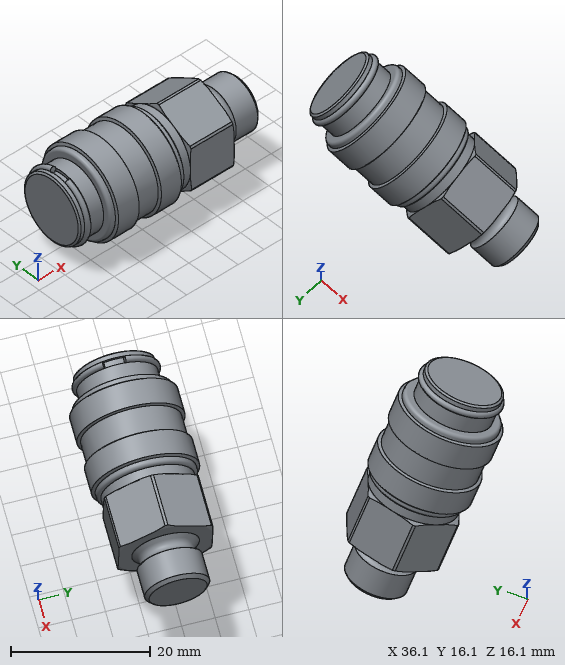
import cadquery as cq
import math

length = 36.15

plug_diameter = 12.15
plug_chamfer_length = 0.2
plug_face_diameter = 11.4
groove_start = 0.9
groove_width = 1.1
groove_diameter = 11.15

wire_diameter = 1.0
gap_angle_plus_y = 12.0
gap_angle_minus_y = 18.0

sleeve_diameter = 15.1
sleeve_start = 4.6
sleeve_end = 19.1
sleeve_fillet = 0.5
band_diameter = 16.15
front_band_start = 5.53
front_band_end = 9.85
rear_band_start = 13.85
rear_band_end = 18.08
band_side_taper = 0.15
rear_band_end_taper = 0.2

neck_diameter = 14.0
hex_start = 20.6
hex_end = 29.1
hex_across_flats = 14.0
hex_corner_diameter = 15.9
hex_twist = 1.3
hex_chamfer_diameter = 14.55
hex_chamfer_angle = 15.0

thread_diameter = 9.72
thread_chamfer = 0.55
undercut_radius = 1.0
undercut_floor_diameter = 8.25
undercut_center = 30.45


def revolve_about_x(outline):
    """Close an XY half outline and turn it a full revolution about the X axis."""
    return outline.close().revolve(360, (0, 0, 0), (1, 0, 0))


def add_band(outline, start, end, start_taper, end_taper):
    """Continue the sleeve outline over one raised band with sloped sides."""
    sleeve_radius = sleeve_diameter / 2
    band_radius = band_diameter / 2
    return (
        outline.lineTo(start, sleeve_radius)
        .lineTo(start + start_taper, band_radius)
        .lineTo(end - end_taper, band_radius)
        .lineTo(end, sleeve_radius)
    )


def make_plug():
    plug_radius = plug_diameter / 2
    groove_radius = groove_diameter / 2
    groove_end = groove_start + groove_width
    outline = (
        cq.Workplane("XY")
        .lineTo(0, plug_face_diameter / 2)
        .lineTo(plug_chamfer_length, plug_radius)
        .lineTo(groove_start, plug_radius)
        .lineTo(groove_start, groove_radius)
        .lineTo(groove_end, groove_radius)
        .lineTo(groove_end, plug_radius)
        .lineTo(sleeve_start, plug_radius)
        .lineTo(sleeve_start, 0)
    )
    return revolve_about_x(outline)


def make_sleeve():
    sleeve_radius = sleeve_diameter / 2
    shoulder_radius = sleeve_radius - sleeve_fillet
    outline = (
        cq.Workplane("XY")
        .moveTo(sleeve_start, 0)
        .lineTo(sleeve_start, shoulder_radius)
        .radiusArc((sleeve_start + sleeve_fillet, sleeve_radius), sleeve_fillet)
    )
    outline = add_band(outline, front_band_start, front_band_end, band_side_taper, band_side_taper)
    outline = add_band(outline, rear_band_start, rear_band_end, band_side_taper, rear_band_end_taper)
    outline = (
        outline.lineTo(sleeve_end - sleeve_fillet, sleeve_radius)
        .radiusArc((sleeve_end, shoulder_radius), sleeve_fillet)
        .lineTo(sleeve_end, 0)
    )
    return revolve_about_x(outline)


def make_neck():
    neck_length = hex_start - sleeve_end
    return cq.Workplane("YZ", origin=(sleeve_end, 0, 0)).circle(neck_diameter / 2).extrude(neck_length)


def make_hexagon():
    hex_length = hex_end - hex_start
    prism = (
        cq.Workplane("YZ", origin=(hex_start, 0, 0))
        .polygon(6, hex_across_flats, circumscribed=True)
        .extrude(hex_length)
        .rotate((0, 0, 0), (1, 0, 0), -hex_twist)
    )
    corner_radius = hex_corner_diameter / 2
    face_radius = hex_chamfer_diameter / 2
    chamfer_length = (corner_radius - face_radius) * math.tan(math.radians(hex_chamfer_angle))
    blank = revolve_about_x(
        cq.Workplane("XY")
        .moveTo(hex_start, 0)
        .lineTo(hex_start, face_radius)
        .lineTo(hex_start + chamfer_length, corner_radius)
        .lineTo(hex_end - chamfer_length, corner_radius)
        .lineTo(hex_end, face_radius)
        .lineTo(hex_end, 0)
    )
    return prism.intersect(blank)


def make_thread_end():
    thread_radius = thread_diameter / 2
    floor_radius = undercut_floor_diameter / 2
    arc_center_radius = floor_radius + undercut_radius
    tangent_offset = undercut_radius * math.sin(math.radians(45))
    tangent_x = undercut_center - tangent_offset
    tangent_radius = arc_center_radius - tangent_offset
    cone_radius = tangent_radius + (tangent_x - hex_end)
    thread_start = undercut_center + math.sqrt(
        undercut_radius**2 - (arc_center_radius - thread_radius) ** 2
    )
    outline = (
        cq.Workplane("XY")
        .moveTo(hex_end, 0)
        .lineTo(hex_end, cone_radius)
        .lineTo(tangent_x, tangent_radius)
        .threePointArc((undercut_center, floor_radius), (thread_start, thread_radius))
        .lineTo(length - thread_chamfer, thread_radius)
        .lineTo(length, thread_radius - thread_chamfer)
        .lineTo(length, 0)
    )
    return revolve_about_x(outline)


def make_coupling():
    return (
        make_plug()
        .union(make_sleeve())
        .union(make_neck())
        .union(make_hexagon())
        .union(make_thread_end())
    )


def make_snap_ring():
    ring_x = groove_start + groove_width / 2
    ring_radius = (groove_diameter + wire_diameter) / 2
    ring_sweep = 360 - gap_angle_plus_y - gap_angle_minus_y
    ring = (
        cq.Workplane("XY")
        .center(ring_x, ring_radius)
        .circle(wire_diameter / 2)
        .revolve(ring_sweep, (0, -ring_radius, 0), (-1, -ring_radius, 0))
    )
    return ring.rotate((0, 0, 0), (1, 0, 0), 90 - gap_angle_plus_y)


coupling = make_coupling()
snap_ring = make_snap_ring()
result = cq.Compound.makeCompound([coupling.val(), snap_ring.val()])